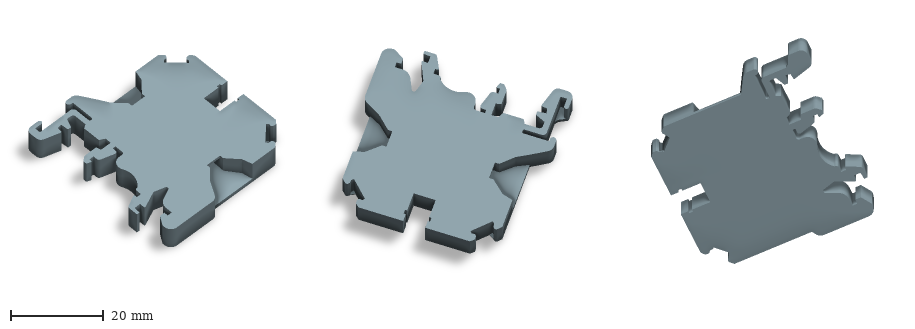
import cadquery as cq
import math

THICKNESS = 6.0
TOP_Y = 41.0
LEFT_X = -22.52
RIGHT_X = 19.98
HOUSING_HALF_WIDTH = 18.2
FLANK_TOP_Y = 17.13
FLANK_SLOPE = 0.6

SLOT_HALF_WIDTH = 2.5
SLOT_FLOOR_Y = 34.0
SLOT_NOTCH_HALF_WIDTH = 3.0
SLOT_NOTCH_LOW_Y = 38.35
SLOT_NOTCH_HIGH_Y = 39.25

RECESS_MOUTH_FLOOR_Z = 1.05
RECESS_INNER_FLOOR_Z = 2.0
RECESS_INNER_X = 11.7
RECESS_SHOULDER_X = 12.65
WIRE_HOLE_LOW_Y = 21.35
WIRE_HOLE_HIGH_Y = 25.25
WIRE_HOLE_TOP_Z = 5.25
WIRE_HOLE_DEPTH = 4.25

CORNER_WEB_THICKNESS = 0.3
HOOK_WEB_THICKNESS = 1.05

ARM_LEFT_X = -19.98
HOOK_INNER_X = -21.45
HOOK_FLOOR_Y = 1.8
HOOK_TIP_Y = 4.15
HOOK_TIP_RADIUS = (HOOK_INNER_X - LEFT_X) / 2

FINGER_RIGHT_X = -21.12
FINGER_TIP_Y = 11.48
FINGER_RADIUS = (FINGER_RIGHT_X - LEFT_X) / 2

LOBE_LEFT_X = -3.1
LOBE_DIAMETER = 4.2

FOOT_ROOF_Y = 10.75
CATCH_ROOF_Y = 5.35
CATCH_FLOOR_Y = 4.15

SHORTEST_EDGE = 4.25e-07


def flank_y(distance_out):
    """Height of the sloping flank at a distance outside the housing side."""
    return FLANK_TOP_Y - FLANK_SLOPE * distance_out


def mirrored(points):
    """Mirror outline points about X = 0, in reverse order."""
    return [(-x, *rest) for x, *rest in reversed(points)]


def rounded_outline(points):
    """Closed wire through (x, y) corners; a third value is the radius rounding that corner."""
    corners = []
    for i, (x, y, *radius) in enumerate(points):
        corner = cq.Vector(x, y)
        if not radius:
            corners.append((corner,))
            continue
        before = (cq.Vector(*points[i - 1][:2]) - corner).normalized()
        after = (cq.Vector(*points[(i + 1) % len(points)][:2]) - corner).normalized()
        half_angle = before.getAngle(after) / 2
        tangent = radius[0] / math.tan(half_angle)
        bulge = radius[0] / math.sin(half_angle) - radius[0]
        middle = corner + (before + after).normalized() * bulge
        corners.append((corner + before * tangent, middle, corner + after * tangent))

    edges = []
    for i, corner in enumerate(corners):
        start = corners[i - 1][-1]
        if (corner[0] - start).Length > SHORTEST_EDGE:
            edges.append(cq.Edge.makeLine(start, corner[0]))
        if len(corner) > 1:
            edges.append(cq.Edge.makeThreePointArc(*corner))
    return cq.Wire.assembleEdges(edges)


def plate(points, height):
    """Flat plate standing on Z = 0 with the given outline."""
    return cq.Workplane(cq.Solid.extrudeLinear(rounded_outline(points), [], cq.Vector(0, 0, height)))


def both_sides(solid):
    """A solid together with its mirror image about X = 0."""
    return solid.union(solid.mirror("YZ"))


upper_undercut = [(13.1, 38.97), (12.5, 39.1), (12.03, 38.65)]
lower_undercut = [(15.8, 34.85), (16.3, 35.35), (16.3, 36.05)]

housing_right = [
    (SLOT_HALF_WIDTH, SLOT_FLOOR_Y),
    (SLOT_HALF_WIDTH, SLOT_NOTCH_LOW_Y),
    (SLOT_NOTCH_HALF_WIDTH, SLOT_NOTCH_LOW_Y),
    (SLOT_NOTCH_HALF_WIDTH, SLOT_NOTCH_HIGH_Y),
    (SLOT_HALF_WIDTH, SLOT_NOTCH_HIGH_Y),
    (SLOT_HALF_WIDTH, TOP_Y),
    (12.65, TOP_Y),
    (13.55, 40.25),
    (13.55, 39.35, 0.35),
    *upper_undercut,
    *lower_undercut,
    (17.0, 36.68, 0.55),
    (HOUSING_HALF_WIDTH, 35.5),
]

foot = [
    (HOUSING_HALF_WIDTH, FLANK_TOP_Y),
    (RIGHT_X, flank_y(RIGHT_X - HOUSING_HALF_WIDTH), 1.7),
    (RIGHT_X, 2.55, 1.9),
    (17.45, 2.55),
    (15.1, 4.05),
    (15.1, CATCH_ROOF_Y),
    (16.15, CATCH_ROOF_Y),
    (16.15, 6.55),
    (12.8, 6.55, 2.5),
    (10.8, 10.8, 0.42),
    (10.1, 10.8, 0.42),
    (9.22, 7.75, 0.2),
    (11.2, 3.27, 0.2),
    (9.7, 3.27),
    (9.7, 1.65),
    (11.35, 1.55),
    (11.35, 0.75),
    (8.55, 0.75, 0.7),
    (6.85, CATCH_FLOOR_Y, 0.2),
    (7.78, CATCH_FLOOR_Y),
    (7.78, CATCH_ROOF_Y),
    (5.8, CATCH_ROOF_Y, 0.65),
    (5.9, 6.1),
    (3.4, 8.92, 4.97),
    (LOBE_LEFT_X, 6.05, LOBE_DIAMETER / 2),
    (LOBE_LEFT_X, FOOT_ROOF_Y, 0.65),
    (-5.82, FOOT_ROOF_Y),
    (-5.82, 9.95),
    (-4.12, 9.95, 0.6),
    (-5.5, CATCH_ROOF_Y, 0.75),
    (-7.0, CATCH_ROOF_Y),
    (-7.0, CATCH_FLOOR_Y),
    (-6.1, CATCH_FLOOR_Y, 0.2),
    (-6.6, 2.85),
    (-7.5, 2.85),
    (-8.5, 3.95, 1.28),
    (-8.5, 7.55, 0.3),
    (-7.25, 7.85),
    (-7.25, FOOT_ROOF_Y),
    (-8.9, FOOT_ROOF_Y),
    (-9.55, 9.45),
    (-14.2, 9.45),
    (-14.8, 10.45),
    (-18.65, 10.45, 0.72),
    (-18.65, 8.63),
    (-16.35, 7.6),
    (-16.35, 6.7, 0.15),
    (-18.4, 6.55),
    (-18.2, 5.4),
    (-16.7, 5.23, 0.25),
    (-18.25, 0.0, 1.45),
    (LEFT_X, 0.0, 1.55),
    (LEFT_X, HOOK_TIP_Y, HOOK_TIP_RADIUS),
    (HOOK_INNER_X, HOOK_TIP_Y, HOOK_TIP_RADIUS),
    (HOOK_INNER_X, HOOK_FLOOR_Y),
    (ARM_LEFT_X, HOOK_FLOOR_Y),
    (ARM_LEFT_X, 11.77, 0.95),
    (-14.88, 11.77, 0.35),
    (-14.88, 12.7, 0.35),
    (FINGER_RIGHT_X, 12.7),
    (FINGER_RIGHT_X, FINGER_TIP_Y, FINGER_RADIUS),
    (LEFT_X, FINGER_TIP_Y, FINGER_RADIUS),
    (LEFT_X, flank_y(-HOUSING_HALF_WIDTH - LEFT_X), 1.7),
    (-HOUSING_HALF_WIDTH, FLANK_TOP_Y),
]

body = plate(housing_right + foot + mirrored(housing_right), THICKNESS)

recess_plan = [
    (HOUSING_HALF_WIDTH, 28.65),
    (15.72, 27.95),
    (RECESS_SHOULDER_X, WIRE_HOLE_HIGH_Y),
    (RECESS_INNER_X, WIRE_HOLE_HIGH_Y),
    (RECESS_INNER_X, WIRE_HOLE_LOW_Y),
    (RECESS_SHOULDER_X, WIRE_HOLE_LOW_Y),
    (15.45, 18.65, 1.28),
    (HOUSING_HALF_WIDTH, FLANK_TOP_Y),
]
above_recess_floor = (
    cq.Workplane("XZ")
    .moveTo(RECESS_INNER_X, RECESS_INNER_FLOOR_Z)
    .lineTo(HOUSING_HALF_WIDTH, RECESS_MOUTH_FLOOR_Z)
    .lineTo(HOUSING_HALF_WIDTH, THICKNESS)
    .lineTo(RECESS_INNER_X, THICKNESS)
    .close()
    .extrude(-TOP_Y)
)
recess = plate(recess_plan, THICKNESS).intersect(above_recess_floor)

wire_hole = cq.Workplane().box(
    WIRE_HOLE_DEPTH,
    WIRE_HOLE_HIGH_Y - WIRE_HOLE_LOW_Y,
    WIRE_HOLE_TOP_Z - RECESS_INNER_FLOOR_Z,
    centered=False,
).translate((RECESS_INNER_X - WIRE_HOLE_DEPTH, WIRE_HOLE_LOW_Y, RECESS_INNER_FLOOR_Z))

upper_corner_web = plate([*upper_undercut, (12.75, 37.9), (12.95, 38.25)], CORNER_WEB_THICKNESS)
lower_corner_web = plate([*lower_undercut, (15.2, 35.45)], CORNER_WEB_THICKNESS)

hook_web = plate(
    [
        (ARM_LEFT_X, HOOK_FLOOR_Y),
        (ARM_LEFT_X, 5.65),
        (-20.5, 4.95, 0.65),
        (LEFT_X + HOOK_TIP_RADIUS, HOOK_TIP_Y),
        (LEFT_X + HOOK_TIP_RADIUS, HOOK_FLOOR_Y),
    ],
    HOOK_WEB_THICKNESS,
)

result = (
    body.cut(both_sides(recess))
    .cut(both_sides(wire_hole))
    .union(both_sides(upper_corner_web))
    .union(both_sides(lower_corner_web))
    .union(hook_web)
)